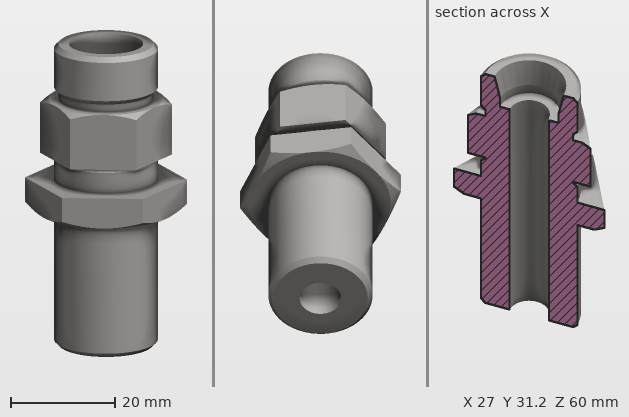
import cadquery as cq
import math

total_height = 60.0
thread_diameter = 20.0
thread_root_diameter = 18.16
end_chamfer = (thread_diameter - thread_root_diameter) / 2

stub_length = 11.0
groove_width = 1.5

body_across_flats = 22.0
body_hex_height = 11.0
body_top = total_height - stub_length
body_bottom = body_top - body_hex_height

nut_across_flats = 27.0
nut_height = 6.0
nut_gap = 5.0
nut_bottom = body_bottom - nut_gap - nut_height

hex_sides = 6
hex_turn = 180 / hex_sides
hex_chamfer_angle = 30.0

bore_diameter = 8.0
socket_diameter = 12.0
socket_depth = 7.5
cone_mouth_diameter = 14.3
cone_half_angle = 12.0


def shank(bottom, length):
    """Threaded cylinder with both end edges chamfered to the thread root."""
    return (
        cq.Workplane("XY")
        .workplane(offset=bottom)
        .circle(thread_diameter / 2)
        .extrude(length)
        .faces("<Z or >Z")
        .chamfer(end_chamfer)
    )


def hexagon(across_flats, bottom, height, chamfer_top):
    """Hexagon with corners on the Y axis; one end is trimmed by a cone tangent to the flats."""
    corner_radius = across_flats / math.sqrt(3)
    flat_radius = across_flats / 2
    corner_drop = (corner_radius - flat_radius) * math.tan(math.radians(hex_chamfer_angle))
    top = bottom + height
    prism = (
        cq.Workplane("XY")
        .workplane(offset=bottom)
        .polygon(hex_sides, 2 * corner_radius)
        .extrude(height)
        .rotate((0, 0, 0), (0, 0, 1), hex_turn)
    )
    if chamfer_top:
        chamfered_end = top
        chamfer_start = top - corner_drop
        plain_end = bottom
    else:
        chamfered_end = bottom
        chamfer_start = bottom + corner_drop
        plain_end = top
    envelope = (
        cq.Workplane("XZ")
        .moveTo(0, plain_end)
        .lineTo(corner_radius, plain_end)
        .lineTo(corner_radius, chamfer_start)
        .lineTo(flat_radius, chamfered_end)
        .lineTo(0, chamfered_end)
        .close()
        .revolve(360, (0, 0, 0), (0, 1, 0))
    )
    return prism.intersect(envelope)


def bore():
    """Stepped bore, revolved about the Z axis."""
    cone_flare = (cone_mouth_diameter - socket_diameter) / 2
    cone_depth = cone_flare / math.tan(math.radians(cone_half_angle))
    socket_floor = total_height - socket_depth
    return (
        cq.Workplane("XZ")
        .lineTo(bore_diameter / 2, 0)
        .lineTo(bore_diameter / 2, socket_floor)
        .lineTo(socket_diameter / 2, socket_floor)
        .lineTo(socket_diameter / 2, total_height - cone_depth)
        .lineTo(cone_mouth_diameter / 2, total_height)
        .lineTo(0, total_height)
        .close()
        .revolve(360, (0, 0, 0), (0, 1, 0))
    )


lower_shank = shank(0, body_bottom)
upper_stub = shank(body_top + groove_width, stub_length - groove_width)
groove_core = (
    cq.Workplane("XY")
    .workplane(offset=body_top)
    .circle(thread_root_diameter / 2)
    .extrude(groove_width)
)
body_hex = hexagon(body_across_flats, body_bottom, body_hex_height, chamfer_top=True)
lock_nut = hexagon(nut_across_flats, nut_bottom, nut_height, chamfer_top=False)

result = (
    lower_shank
    .union(lock_nut)
    .union(body_hex)
    .union(groove_core)
    .union(upper_stub)
    .cut(bore())
)